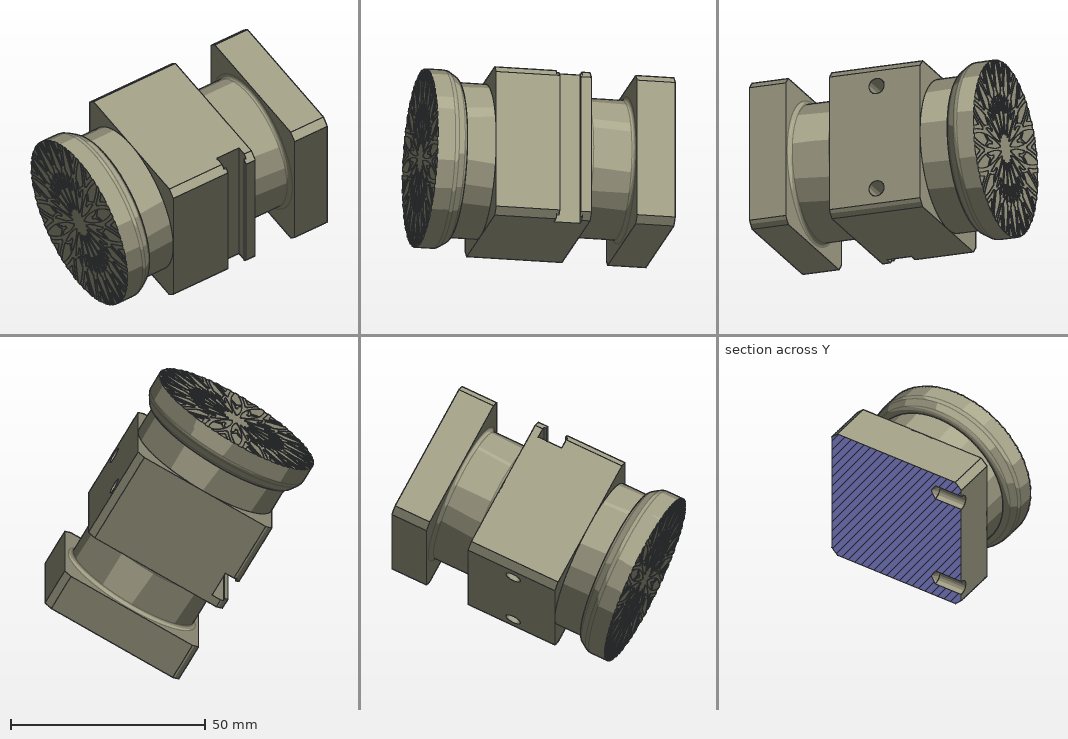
import cadquery as cq
import math


plate_length = 10.0
neck_length = 12.0
block_length = 25.0
collar_length = 7.5
total_length = 62.95
relief_height = 0.15

square_side = 40.0
corner_circle_diameter = 54.0

neck_diameter = 36.0
neck_fillet = 1.0
collar_diameter = square_side
flange_diameter = 46.0
flange_chamfer_width = 2.0
flange_chamfer_length = 3.15
flange_round = 2.0

slot_centre = 27.55
slot_mouth_width = 5.5
slot_inner_width = 6.75
slot_depth = 4.4
slot_lip = 1.0

hole_diameter = 4.13
hole_depth = 8.0
hole_point_angle = 118.0
hole_station = 35.0
hole_spacing = 28.0

petal_count = 18
petal_pitch = 360.0 / petal_count

block_start = plate_length + neck_length
block_end = block_start + block_length
flange_start = block_end + collar_length
flange_end = total_length - relief_height
rim_radius = flange_diameter / 2


def front_plane(station):
    """Sketch plane facing the front, with local X along X and local Y along Z."""
    return cq.Workplane("XZ", origin=(0, -station, 0))


def square_section(start, length):
    """Square prism with its four corners turned down to a larger circle."""
    square = front_plane(start).rect(square_side, square_side).extrude(length)
    turned = front_plane(start).circle(corner_circle_diameter / 2).extrude(length)
    return square.intersect(turned)


def make_neck():
    """Waist between plate and block, flaring into both with a fillet."""
    radius = neck_diameter / 2
    flare_radius = radius + neck_fillet
    mid_arc = neck_fillet * (1 - math.sqrt(0.5))
    profile = (
        cq.Workplane("XY")
        .moveTo(0, -plate_length)
        .lineTo(flare_radius, -plate_length)
        .threePointArc(
            (radius + mid_arc, -plate_length - mid_arc),
            (radius, -plate_length - neck_fillet),
        )
        .lineTo(radius, -block_start + neck_fillet)
        .threePointArc(
            (radius + mid_arc, -block_start + mid_arc),
            (flare_radius, -block_start),
        )
        .lineTo(0, -block_start)
        .close()
    )
    return profile.revolve(360, (0, 0, 0), (0, 1, 0))


def make_flange():
    """Front disc with a bevelled back edge that is rounded at both ends."""
    disc = front_plane(flange_start).circle(rim_radius).extrude(flange_end - flange_start)
    disc = disc.edges(">Y").chamfer(flange_chamfer_length, flange_chamfer_width)
    disc = disc.edges(">Y").fillet(flange_round)
    rim_station = flange_start + flange_chamfer_length
    bevel_edge = cq.selectors.NearestToPointSelector((0, -rim_station, rim_radius))
    return disc.edges(bevel_edge).fillet(flange_round)


def make_slot():
    """T-slot cutter running the full height of the block."""
    mouth_x = square_side / 2
    mouth = cq.Workplane("XY").box(slot_depth, slot_mouth_width, square_side)
    mouth = mouth.translate((mouth_x - slot_depth / 2, -slot_centre, 0))
    inner_depth = slot_depth - slot_lip
    inner = cq.Workplane("XY").box(inner_depth, slot_inner_width, square_side)
    inner = inner.translate((mouth_x - slot_lip - inner_depth / 2, -slot_centre, 0))
    return mouth.union(inner)


def make_hole(z):
    """Drilled blind hole with a conical bottom."""
    radius = hole_diameter / 2
    point = radius / math.tan(math.radians(hole_point_angle / 2))
    side_x = -square_side / 2
    return (
        cq.Workplane("XY")
        .moveTo(side_x, 0)
        .lineTo(side_x, radius)
        .lineTo(side_x + hole_depth, radius)
        .lineTo(side_x + hole_depth + point, 0)
        .close()
        .revolve(360, (0, 0, 0), (1, 0, 0))
        .translate((0, -hole_station, z))
    )


outline_overshoot = 1.0
outline_top = rim_radius + outline_overshoot

petal_outer_end = (0.15, outline_top)
petal_rim_point = (0.48, rim_radius)
petal_side_middle = (1.25, 19.4)
petal_shoulder = (1.66, 15.25)
petal_point_middle = (0.8, 14.2)
petal_point_side = (0.2, 13.05)
petal_tip_radius = 12.9

chevron_outer_end = (2.85, outline_top)
chevron_side_middle = (1.14, 19.4)
chevron_tip_side = (0.33, 16.45)
chevron_tip_radius = 16.28

chevron_gap_outer_end = (1.7, outline_top)
chevron_gap_tip_side = (0.2, 19.93)
chevron_gap_tip_radius = 19.79

fork_bottom_side = (0.36, 10.1)
fork_bottom_radius = 9.77
fork_side_middle = (0.65, 12.3)
prong_inner_side = (1.42, 13.8)
prong_tip = (1.54, 13.92)
prong_outer_side = (1.66, 13.74)
blade_shoulder = (1.46, 11.0)
blade_side_middle = (1.06, 7.4)
blade_tip_side = (0.2, 3.95)
blade_tip_radius = 3.8


def mirrored(point):
    return (-point[0], point[1])


def add_stretch(path, middle, end):
    if middle is None:
        return path.lineTo(*end)
    return path.threePointArc(middle, end)


def raised_shape(start, stretches, tip_radius, closing_radius=None):
    """Raised shape drawn down one side, round the tip on the axis and back up the other.

    The ends are joined by a straight line, or by an arc through closing_radius.
    """
    path = front_plane(flange_end).moveTo(*start)
    corners = [start]
    for middle, end in stretches:
        path = add_stretch(path, middle, end)
        corners.append(end)
    path = path.threePointArc((0, tip_radius), mirrored(corners[-1]))
    for index in reversed(range(len(stretches))):
        middle = stretches[index][0]
        if middle is not None:
            middle = mirrored(middle)
        path = add_stretch(path, middle, mirrored(corners[index]))
    if closing_radius is not None:
        path = path.threePointArc((0, closing_radius), start)
    return path.close().extrude(relief_height)


def outer_petal():
    """Long petal from the rim inwards, with a pointed inner end."""
    stretches = [
        (None, petal_rim_point),
        (petal_side_middle, petal_shoulder),
        (petal_point_middle, petal_point_side),
    ]
    return raised_shape(petal_outer_end, stretches, petal_tip_radius)


def chevron():
    """V-shaped band, open towards the rim."""
    sides = [(chevron_side_middle, chevron_tip_side)]
    gap_sides = [(None, chevron_gap_tip_side)]
    wedge = raised_shape(chevron_outer_end, sides, chevron_tip_radius)
    gap = raised_shape(chevron_gap_outer_end, gap_sides, chevron_gap_tip_radius)
    return wedge.cut(gap)


def inner_petal():
    """Blade pointed towards the centre, forked into two prongs at its outer end."""
    stretches = [
        (fork_side_middle, prong_inner_side),
        (prong_tip, prong_outer_side),
        (None, blade_shoulder),
        (blade_side_middle, blade_tip_side),
    ]
    return raised_shape(fork_bottom_side, stretches, blade_tip_radius, fork_bottom_radius)


def make_relief():
    """Rings of raised petals and chevrons, trimmed to the flange rim."""
    chevron_offset = petal_pitch / 2
    rings = [(outer_petal(), 0), (chevron(), chevron_offset), (inner_petal(), 0)]
    shapes = []
    for shape, offset in rings:
        for index in range(petal_count):
            turned = shape.rotate((0, 0, 0), (0, 1, 0), index * petal_pitch + offset)
            shapes.append(turned.val())
    disc = front_plane(flange_end).circle(rim_radius).extrude(relief_height)
    return disc.intersect(cq.Workplane(cq.Compound.makeCompound(shapes)))


body = square_section(0, plate_length)
body = body.union(make_neck())
body = body.union(square_section(block_start, block_length))
body = body.union(front_plane(block_end).circle(collar_diameter / 2).extrude(collar_length))
body = body.union(make_flange())
body = body.cut(make_slot())
for side in (-1, 1):
    body = body.cut(make_hole(side * hole_spacing / 2))

result = body.union(make_relief())